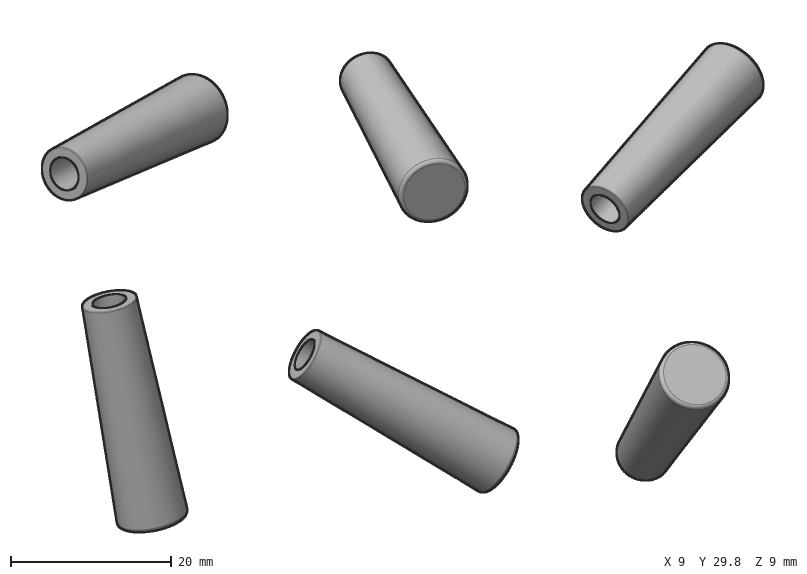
import cadquery as cq

length = 29.8
wide_diameter = 9.0
narrow_diameter = 6.95
bore_diameter = 4.3
bore_depth = 23.85
wide_end_radius = 0.5
narrow_end_radius = 0.1

narrow_end_y = -length / 2
wide_end_y = length / 2
taper_end_y = wide_end_y - wide_end_radius


def make_body():
    """Cone with a rounded edge at each end."""
    profile = (
        cq.Workplane("XY")
        .moveTo(0, narrow_end_y)
        .lineTo(narrow_diameter / 2, narrow_end_y)
        .lineTo(wide_diameter / 2, taper_end_y)
        .radiusArc((wide_diameter / 2 - wide_end_radius, wide_end_y), -wide_end_radius)
        .lineTo(0, wide_end_y)
        .close()
    )
    body = profile.revolve(360, (0, 0, 0), (0, 1, 0))
    return body.faces("<Y").edges().fillet(narrow_end_radius)


def make_bore():
    """Blind round hole entering from the narrow end."""
    bore_start = cq.Workplane("XZ", origin=(0, narrow_end_y, 0))
    return bore_start.circle(bore_diameter / 2).extrude(-bore_depth)


result = make_body().cut(make_bore())